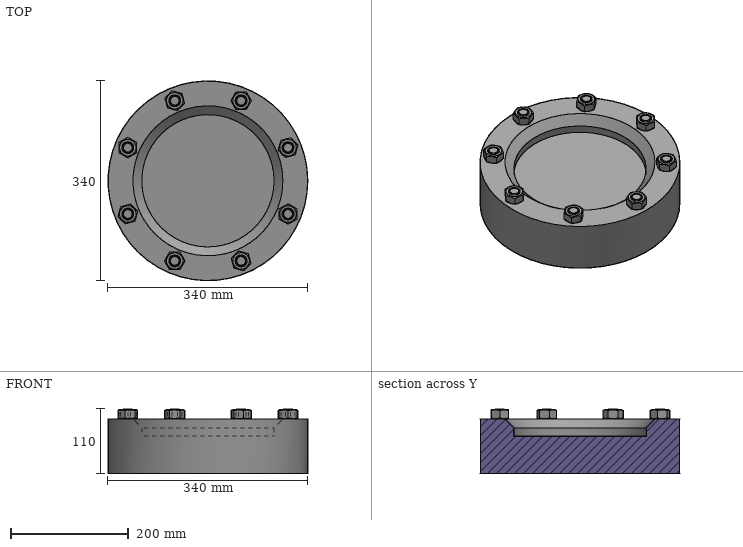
import cadquery as cq
import math

body_diameter = 340.0
body_height = 93.0
overall_height = 110.03

bore_diameter = 225.0
mouth_diameter = 255.0
mouth_depth = 15.0
recess_depth = 29.0

bolt_count = 8
bolt_circle_diameter = 295.0
bolt_pitch_angle = 360.0 / bolt_count
first_bolt_angle = bolt_pitch_angle / 2
nut_corner_lag = 67.5

nut_across_flats = 30.0
nut_across_corners = nut_across_flats / math.cos(math.radians(30.0))
nut_height = 16.0
nut_chamfer_angle = 30.0
nut_face_diameter = 28.2
nut_bore_mouth_diameter = 20.0

stud_diameter = 18.0
stud_height = overall_height - body_height
stud_chamfer = 1.5


def make_body():
    """Solid disc with the stepped round recess in its top face."""
    outer_radius = body_diameter / 2
    bore_radius = bore_diameter / 2
    mouth_radius = mouth_diameter / 2
    profile = (
        cq.Workplane("XZ")
        .moveTo(0, 0)
        .lineTo(outer_radius, 0)
        .lineTo(outer_radius, body_height)
        .lineTo(mouth_radius, body_height)
        .lineTo(bore_radius, body_height - mouth_depth)
        .lineTo(bore_radius, body_height - recess_depth)
        .lineTo(0, body_height - recess_depth)
        .close()
    )
    return profile.revolve(360, (0, 0), (0, 1))


def make_corner_cone():
    """Turned envelope that bevels the corners at both ends of the nut."""
    corner_radius = nut_across_corners / 2
    face_radius = nut_face_diameter / 2
    bevel_height = (corner_radius - face_radius) * math.tan(math.radians(nut_chamfer_angle))
    profile = (
        cq.Workplane("XZ")
        .moveTo(0, 0)
        .lineTo(face_radius, 0)
        .lineTo(corner_radius, bevel_height)
        .lineTo(corner_radius, nut_height - bevel_height)
        .lineTo(face_radius, nut_height)
        .lineTo(0, nut_height)
        .close()
    )
    return profile.revolve(360, (0, 0), (0, 1))


def make_bore_mouth():
    """Conical countersink at the top of the nut, around the stud."""
    mouth_radius = nut_bore_mouth_diameter / 2
    stud_radius = stud_diameter / 2
    countersink_depth = mouth_radius - stud_radius
    profile = (
        cq.Workplane("XZ")
        .moveTo(0, nut_height)
        .lineTo(mouth_radius, nut_height)
        .lineTo(stud_radius, nut_height - countersink_depth)
        .lineTo(0, nut_height - countersink_depth)
        .close()
    )
    return profile.revolve(360, (0, 0), (0, 1))


def make_fastener():
    """Nut and chamfered stud end, standing on Z = 0 with a nut corner on +X."""
    hexagon = cq.Workplane("XY").polygon(6, nut_across_corners).extrude(nut_height)
    nut = hexagon.intersect(make_corner_cone()).cut(make_bore_mouth())
    stud = (
        cq.Workplane("XY")
        .circle(stud_diameter / 2)
        .extrude(stud_height)
        .faces(">Z")
        .chamfer(stud_chamfer)
    )
    return nut.union(stud)


def add_fasteners(body):
    """Place the nuts and studs around the bolt circle, each turned with its position."""
    fastener = make_fastener().rotate((0, 0, 0), (0, 0, 1), -nut_corner_lag)
    fastener = fastener.translate((bolt_circle_diameter / 2, 0, body_height))
    for index in range(bolt_count):
        angle = first_bolt_angle + index * bolt_pitch_angle
        body = body.union(fastener.rotate((0, 0, 0), (0, 0, 1), angle))
    return body


result = add_fasteners(make_body())